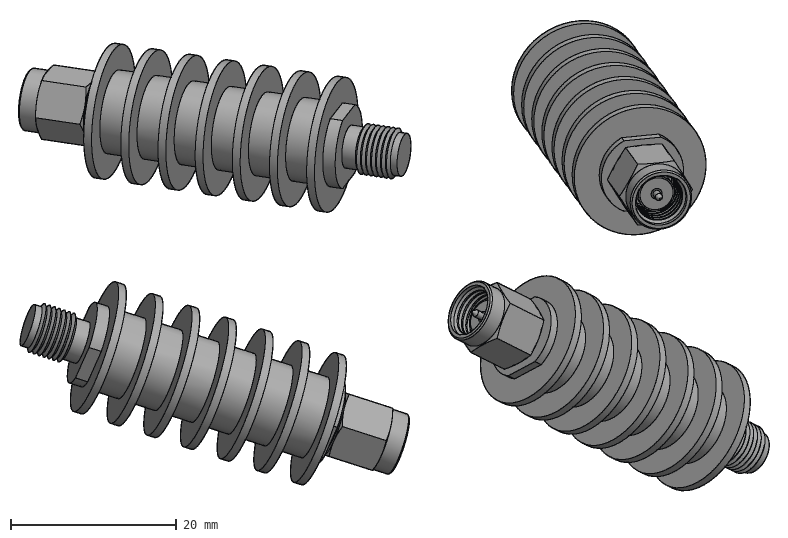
import cadquery as cq
import math

TOTAL_LENGTH = 48.0

NUT_END = 8.4
COLLAR_RADIUS = 3.85
COLLAR_LENGTH = 2.25
COLLAR_CHAMFER = 0.2
HEX_ACROSS_FLATS = 7.9
HEX_CHAMFER_LENGTH = 0.25
NUT_BORE_RADIUS = 2.9
MOUTH_RADIUS = 3.2
MOUTH_LENGTH = 0.55
NUT_GROOVE_COUNT = 6
NUT_GROOVE_PITCH = 0.7
NUT_GROOVE_WIDTH = 0.5

FERRULE_FACE = 2.2
FERRULE_RADIUS = 2.25
SHANK_START = 5.9
NECK_RADIUS = 3.1

DIELECTRIC_RADIUS = 2.05
CONDUCTOR_RADIUS = 0.65
PIN_RADIUS = 0.455
PIN_TIP_RADIUS = 0.1
PIN_TIP = 0.5
PIN_TAPER_LENGTH = 0.6

HOUSING_START = 8.85
HOUSING_END = 40.95
HOUSING_RADIUS = 5.15
HOUSING_ACROSS_FLATS = 9.15
FIN_RADIUS = 8.25
FIN_COUNT = 7
FIN_THICKNESS = 1.0
FINS_START = 9.9
FINS_END = 39.35
FIN_PITCH = (FINS_END - FINS_START - FIN_THICKNESS) / (FIN_COUNT - 1)

BARREL_RADIUS = 2.65
BARREL_CREST_RADIUS = 3.1
BARREL_THREAD_START = 42.65
BARREL_RIDGE_COUNT = 7
BARREL_THREAD_LENGTH = 4.45
BARREL_RIDGE_PITCH = BARREL_THREAD_LENGTH / BARREL_RIDGE_COUNT


def cylinder(start, end, radius):
    """Solid cylinder on the X axis between two stations."""
    return cq.Workplane("YZ").workplane(offset=start).circle(radius).extrude(end - start)


def revolve_profile(points):
    """Turn a closed (station, radius) polygon about the X axis."""
    return cq.Workplane("XY").polyline(points).close().revolve(360, (0, 0, 0), (1, 0, 0))


def make_nut():
    """Hexagonal coupling nut with a round collar and an internally threaded bore."""
    corner_radius = HEX_ACROSS_FLATS / math.sqrt(3)
    hexagon = (
        cq.Workplane("YZ")
        .workplane(offset=COLLAR_LENGTH)
        .polygon(6, 2 * corner_radius)
        .extrude(NUT_END - COLLAR_LENGTH)
    )
    corner_cone = revolve_profile([
        (COLLAR_LENGTH, 0),
        (COLLAR_LENGTH, COLLAR_RADIUS),
        (COLLAR_LENGTH + HEX_CHAMFER_LENGTH, corner_radius),
        (NUT_END - HEX_CHAMFER_LENGTH, corner_radius),
        (NUT_END, HEX_ACROSS_FLATS / 2),
        (NUT_END, 0),
    ])
    collar = cylinder(0, COLLAR_LENGTH, COLLAR_RADIUS).faces("<X").edges().chamfer(COLLAR_CHAMFER)
    first_land = MOUTH_LENGTH + NUT_GROOVE_WIDTH / 2
    grooves = []
    for i in range(NUT_GROOVE_COUNT):
        groove_end = first_land + (i + 1) * NUT_GROOVE_PITCH
        grooves.append((groove_end - NUT_GROOVE_WIDTH, NUT_BORE_RADIUS))
        grooves.append((groove_end - NUT_GROOVE_WIDTH / 2, MOUTH_RADIUS))
        grooves.append((groove_end, NUT_BORE_RADIUS))
    bore = revolve_profile([
        (0, 0),
        (0, MOUTH_RADIUS),
        (MOUTH_LENGTH, MOUTH_RADIUS),
        (first_land, NUT_BORE_RADIUS),
        *grooves,
        (NUT_END, NUT_BORE_RADIUS),
        (NUT_END, 0),
    ])
    return hexagon.intersect(corner_cone).union(collar).cut(bore)


def make_male_shell():
    """Ferrule tube, shank filling the rear of the nut bore, and neck against the housing."""
    return revolve_profile([
        (FERRULE_FACE, DIELECTRIC_RADIUS),
        (FERRULE_FACE, FERRULE_RADIUS),
        (SHANK_START, FERRULE_RADIUS),
        (SHANK_START, NUT_BORE_RADIUS),
        (NUT_END, NUT_BORE_RADIUS),
        (NUT_END, NECK_RADIUS),
        (HOUSING_START, NECK_RADIUS),
        (HOUSING_START, DIELECTRIC_RADIUS),
    ])


def make_dielectric():
    """Insulating sleeve between the ferrule and the centre conductor."""
    sleeve = cylinder(FERRULE_FACE, HOUSING_START, DIELECTRIC_RADIUS)
    return sleeve.cut(cylinder(FERRULE_FACE, HOUSING_START, CONDUCTOR_RADIUS))


def make_centre_pin():
    """Centre conductor, stepping down to a tapered contact pin."""
    return revolve_profile([
        (PIN_TIP, 0),
        (PIN_TIP, PIN_TIP_RADIUS),
        (PIN_TIP + PIN_TAPER_LENGTH, PIN_RADIUS),
        (FERRULE_FACE, PIN_RADIUS),
        (FERRULE_FACE, CONDUCTOR_RADIUS),
        (HOUSING_START, CONDUCTOR_RADIUS),
        (HOUSING_START, 0),
    ])


def make_housing():
    """Cylindrical housing with wrench flats beyond the end fins, and a row of cooling fins."""
    flats = (
        cq.Workplane("YZ")
        .workplane(offset=HOUSING_START)
        .rect(2 * HOUSING_RADIUS, HOUSING_ACROSS_FLATS)
        .extrude(HOUSING_END - HOUSING_START)
    )
    housing = cylinder(HOUSING_START, HOUSING_END, HOUSING_RADIUS).intersect(flats)
    housing = housing.union(cylinder(FINS_START, FINS_END, HOUSING_RADIUS))
    for i in range(FIN_COUNT):
        fin_start = FINS_START + i * FIN_PITCH
        housing = housing.union(cylinder(fin_start, fin_start + FIN_THICKNESS, FIN_RADIUS))
    return housing


def make_female_connector():
    """Barrel with a row of V thread ridges and a plain end."""
    ridges = []
    for i in range(BARREL_RIDGE_COUNT):
        ridge_start = BARREL_THREAD_START + i * BARREL_RIDGE_PITCH
        ridges.append((ridge_start + BARREL_RIDGE_PITCH / 2, BARREL_CREST_RADIUS))
        ridges.append((ridge_start + BARREL_RIDGE_PITCH, BARREL_RADIUS))
    return revolve_profile([
        (HOUSING_END, 0),
        (HOUSING_END, BARREL_RADIUS),
        (BARREL_THREAD_START, BARREL_RADIUS),
        *ridges,
        (TOTAL_LENGTH, BARREL_RADIUS),
        (TOTAL_LENGTH, 0),
    ])


nut = make_nut()
male_shell = make_male_shell()
dielectric = make_dielectric()
centre_pin = make_centre_pin()
housing = make_housing()
female_connector = make_female_connector()

result = cq.Compound.makeCompound([
    nut.val(),
    male_shell.val(),
    dielectric.val(),
    centre_pin.val(),
    housing.val(),
    female_connector.val(),
])